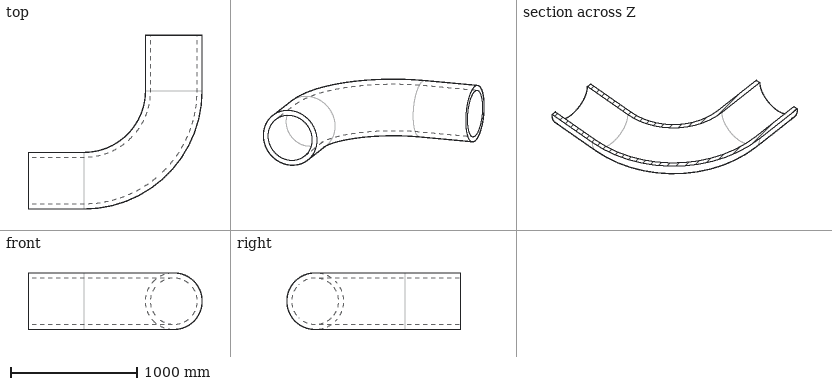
import cadquery as cq
import math

overall_length = 1375.0
outer_diameter = 450.0
inner_diameter = 368.0
straight_length = 440.0

outer_radius = outer_diameter / 2
bend_radius = overall_length - straight_length - outer_radius
leg_length = straight_length + bend_radius
bend_middle = (
    straight_length + bend_radius * math.sin(math.pi / 4),
    bend_radius * (1 - math.cos(math.pi / 4)),
)

centreline = (
    cq.Workplane("XY")
    .lineTo(straight_length, 0)
    .threePointArc(bend_middle, (leg_length, bend_radius))
    .lineTo(leg_length, leg_length)
)

result = (
    cq.Workplane("YZ")
    .circle(outer_radius)
    .circle(inner_diameter / 2)
    .sweep(centreline)
)